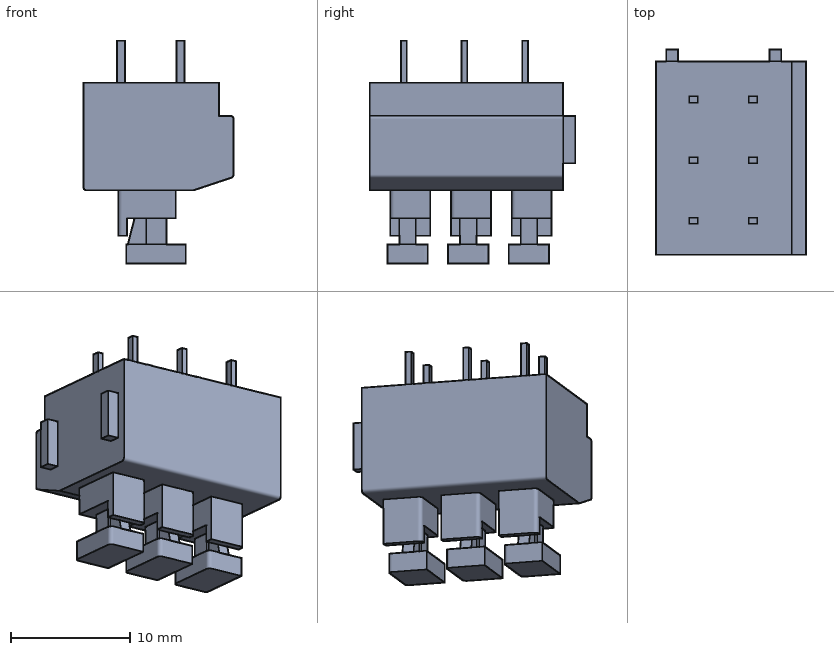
import cadquery as cq


BODY_DEPTH = 16.23
BODY_WIDTH = 12.6
BODY_BOTTOM = 6.13
BODY_TOP = 15.18
UPPER_WIDTH = 11.39
LEDGE_Z = 12.4
SLOPE_START_X = 9.24
SLOPE_END_Z = 7.25
BODY_RADIUS = 0.28

BLOCK_WIDTH = 1.01
BLOCK_DEPTH = 1.01
BLOCK_HEIGHT = 4.0
BLOCK_X = (0.86, 9.52)

POLE_COUNT = 3
POLE_PITCH = 5.09

PIN_TOP = 18.7
PIN_WIDTH = 0.7
PIN_DEPTH = 0.5
PIN_X_CENTER = 3.16
PIN_X_PITCH = 5.0
FIRST_PIN_Y = 2.86

GUIDE_LEFT = 2.92
GUIDE_WIDTH = 4.85
GUIDE_DEPTH = 3.37
GUIDE_BOTTOM = 3.8
FIRST_GUIDE_Y = 1.72
TAB_WIDTH = 0.75
TAB_BOTTOM = 2.32
CORNER_RADIUS = 0.34

FOOT_LEFT = 3.59
FOOT_WIDTH = 5.01
FOOT_DEPTH = 3.4
FOOT_HEIGHT = 1.6
FIRST_FOOT_Y = 1.48

POST_LEFT = 5.27
POST_RIGHT = 7.0
POST_DEPTH = 1.4
WEB_DEPTH = 1.0
WEB_BOTTOM_LEFT = 3.72
WEB_TOP_LEFT = 4.28


def box(x, y, z, width, depth, height):
    """Box with its minimum corner at (x, y, z)."""
    return cq.Workplane("XY").box(width, depth, height, centered=False).translate((x, y, z))


def side_profile(points, y_start, depth):
    """Extrude an XZ outline towards +Y from y_start."""
    return cq.Workplane("XZ", origin=(0, y_start, 0)).polyline(points).close().extrude(-depth)


def make_body():
    outline = [
        (0, BODY_BOTTOM),
        (SLOPE_START_X, BODY_BOTTOM),
        (BODY_WIDTH, SLOPE_END_Z),
        (BODY_WIDTH, LEDGE_Z),
        (UPPER_WIDTH, LEDGE_Z),
        (UPPER_WIDTH, BODY_TOP),
        (0, BODY_TOP),
    ]
    body = side_profile(outline, 0, BODY_DEPTH)
    body = body.faces(">X").edges("|Y").fillet(BODY_RADIUS)
    return body.faces("<X").edges("|Y and <Z").fillet(BODY_RADIUS)


def make_blocks():
    blocks = cq.Workplane("XY")
    for x in BLOCK_X:
        block = box(x, BODY_DEPTH, LEDGE_Z - BLOCK_HEIGHT, BLOCK_WIDTH, BLOCK_DEPTH, BLOCK_HEIGHT)
        blocks = blocks.add(block)
    return blocks.combine()


def make_pins(y_shift):
    return (
        cq.Workplane("XY", origin=(0, FIRST_PIN_Y + y_shift, BODY_TOP))
        .pushPoints([(PIN_X_CENTER, 0), (PIN_X_CENTER + PIN_X_PITCH, 0)])
        .rect(PIN_WIDTH, PIN_DEPTH)
        .extrude(PIN_TOP - BODY_TOP)
    )


def make_guide(y_shift):
    right = GUIDE_LEFT + GUIDE_WIDTH
    tab_right = GUIDE_LEFT + TAB_WIDTH
    outline = [
        (GUIDE_LEFT, BODY_BOTTOM),
        (right, BODY_BOTTOM),
        (right, GUIDE_BOTTOM),
        (tab_right, GUIDE_BOTTOM),
        (tab_right, TAB_BOTTOM),
        (GUIDE_LEFT, TAB_BOTTOM),
    ]
    guide = side_profile(outline, FIRST_GUIDE_Y + y_shift, GUIDE_DEPTH)
    left_edge = guide.faces("<X").edges("|Z and <Y")
    right_edge = guide.faces(">X").edges("|Z and <Y")
    return guide.newObject(left_edge.vals() + right_edge.vals()).fillet(CORNER_RADIUS)


def make_foot(y_shift):
    foot = box(FOOT_LEFT, FIRST_FOOT_Y + y_shift, 0, FOOT_WIDTH, FOOT_DEPTH, FOOT_HEIGHT)
    return foot.faces(">Y").edges("|Z").fillet(CORNER_RADIUS)


def make_stem(y_shift):
    y_center = FIRST_FOOT_Y + FOOT_DEPTH / 2 + y_shift
    height = GUIDE_BOTTOM - FOOT_HEIGHT
    post_width = POST_RIGHT - POST_LEFT
    post = box(POST_LEFT, y_center - POST_DEPTH / 2, FOOT_HEIGHT, post_width, POST_DEPTH, height)
    web_outline = [
        (WEB_BOTTOM_LEFT, FOOT_HEIGHT),
        (POST_LEFT, FOOT_HEIGHT),
        (POST_LEFT, GUIDE_BOTTOM),
        (WEB_TOP_LEFT, GUIDE_BOTTOM),
    ]
    web = side_profile(web_outline, y_center - WEB_DEPTH / 2, WEB_DEPTH)
    return post.union(web)


result = make_body().union(make_blocks())
for pole in range(POLE_COUNT):
    shift = pole * POLE_PITCH
    for make_feature in (make_pins, make_guide, make_stem, make_foot):
        result = result.union(make_feature(shift))